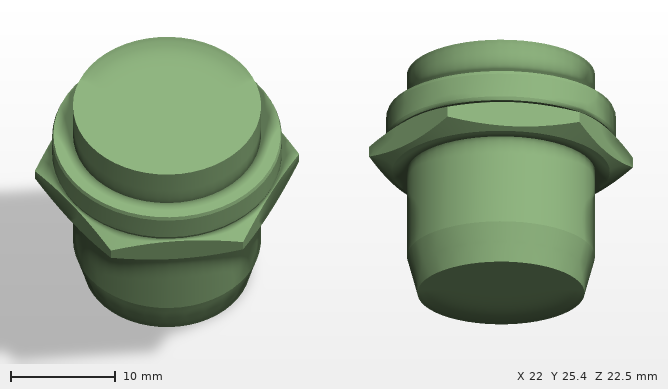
import cadquery as cq
import math

NUT_CORNERS = 25.4
NUT_FLATS = NUT_CORNERS * math.cos(math.pi / 6)
BODY_DIAMETER = 18.0

TOTAL_HEIGHT = 22.5
TAPER_HEIGHT = 3.75
TIP_DIAMETER = 16.0
NUT_THICKNESS = 3.0
RING_THICKNESS = 3.0
EXPOSED_HEAD = 4.0
RING_BOTTOM = TOTAL_HEIGHT - EXPOSED_HEAD - RING_THICKNESS
NUT_BOTTOM = RING_BOTTOM - NUT_THICKNESS

RING_CHAMFER_WIDTH = 0.13
RING_CHAMFER_HEIGHT = 0.33
NUT_FACE_DIAMETER = 20.83
NUT_CHAMFER_HEIGHT = 1.0


def revolve_profile(points):
    """Revolve (radius, height) points about the Z axis."""
    return cq.Workplane("XZ").polyline(points).close().revolve(360, (0, 0), (0, 1))


def body_bore(bottom, height):
    """Cylinder that the plug fills inside a surrounding part."""
    return cq.Workplane("XY").workplane(offset=bottom).circle(BODY_DIAMETER / 2).extrude(height)


def make_plug():
    """Solid cylinder with a tapered lower end."""
    return revolve_profile([
        (0, 0),
        (TIP_DIAMETER / 2, 0),
        (BODY_DIAMETER / 2, TAPER_HEIGHT),
        (BODY_DIAMETER / 2, TOTAL_HEIGHT),
        (0, TOTAL_HEIGHT),
    ])


def make_ring():
    """Round collar around the plug, chamfered on both outer edges."""
    bore_radius = BODY_DIAMETER / 2
    outer_radius = NUT_FLATS / 2
    face_radius = outer_radius - RING_CHAMFER_WIDTH
    ring_top = RING_BOTTOM + RING_THICKNESS
    return revolve_profile([
        (bore_radius, RING_BOTTOM),
        (face_radius, RING_BOTTOM),
        (outer_radius, RING_BOTTOM + RING_CHAMFER_HEIGHT),
        (outer_radius, ring_top - RING_CHAMFER_HEIGHT),
        (face_radius, ring_top),
        (bore_radius, ring_top),
    ])


def make_nut():
    """Hexagon nut with corners on the Y axis and both faces cone-chamfered."""
    hexagon = (
        cq.Workplane("XY").workplane(offset=NUT_BOTTOM)
        .transformed(rotate=(0, 0, 90))
        .polygon(6, NUT_CORNERS).extrude(NUT_THICKNESS)
    )
    face_radius = NUT_FACE_DIAMETER / 2
    corner_radius = NUT_CORNERS / 2
    envelope = revolve_profile([
        (0, NUT_BOTTOM),
        (face_radius, NUT_BOTTOM),
        (corner_radius, NUT_BOTTOM + NUT_CHAMFER_HEIGHT),
        (corner_radius, RING_BOTTOM - NUT_CHAMFER_HEIGHT),
        (face_radius, RING_BOTTOM),
        (0, RING_BOTTOM),
    ])
    return hexagon.intersect(envelope).cut(body_bore(NUT_BOTTOM, NUT_THICKNESS))


plug = make_plug()
ring = make_ring()
nut = make_nut()

result = cq.Compound.makeCompound([plug.val(), ring.val(), nut.val()])